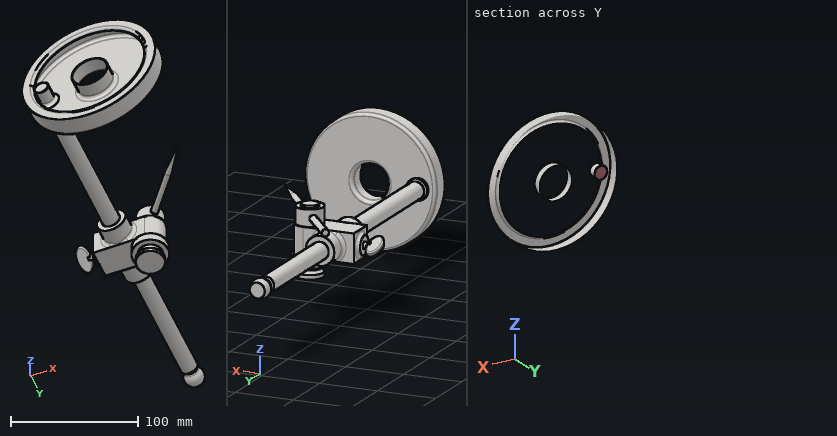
import cadquery as cq
import math


BASE_RADIUS = 57.0
BASE_HEIGHT = 18.0
SHEET = 0.5
RIM_WIDTH = 7.5
FILLET = 3.0
HUB_RECESS = 2.5
HUB_RADIUS = 15.2
SOCKET_RECESS = 3.2
SOCKET_RADIUS = 6.0

COLUMN_X = -41.5
COLUMN_RADIUS = 7.5
STUB_RADIUS = SOCKET_RADIUS - SHEET
COLLAR_RADIUS = 9.0
COLLAR_HEIGHT = 2.3
COLUMN_TOP = 308.0
NECK_RADIUS = 5.8
NECK_START = 310.5
TOTAL_LENGTH = 324.0
BALL_RADIUS = 8.7
BALL_CUT = 5.8

SLIDER_Y = 176.0
BLOCK_WIDTH = 25.3
BLOCK_REACH = 22.0
SPINDLE_OFFSET = 21.7
SLEEVE_LENGTH = 57.0
SLEEVE_RADIUS = 12.3
BOSS_RADIUS = 8.0
BOSS_HEIGHT = 3.2

SCREW_RADIUS = 3.0
WING_WIDTH = 12.3
WING_LENGTH = 23.3
WING_THICKNESS = 5.2
WING_FILLET = 1.3
WING_TILT = 20.0
WING_END_X = -82.0

SPINDLE_RADIUS = 7.5
SPINDLE_TOP = 28.8
HEAD_RADIUS = 11.7
HEAD_TOP = 27.0
NUT_RADIUS = 15.0
NUT_BOTTOM = -20.7
KNOB_RADIUS = 11.7
KNOB_NECK_RADIUS = 10.0
KNOB_WAIST_RADIUS = 9.0
KNOB_WAIST_Z = -24.0
KNOB_RIM_Z = -27.0
KNOB_BOTTOM = -30.8

SCRIBER_RADIUS = 3.0
SCRIBER_Z = 19.5
SCRIBER_ANGLE = -52.0
SCRIBER_BACK = 51.8
SCRIBER_SHANK = 51.8
SCRIBER_REACH = 83.3
SCRIBER_TIP_RADIUS = 0.15

FLOOR_Y = BASE_HEIGHT - SHEET
RECESS_RADIUS = BASE_RADIUS - RIM_WIDTH
BALL_Y = TOTAL_LENGTH - BALL_CUT
BALL_FLAT_RADIUS = math.sqrt(BALL_RADIUS**2 - BALL_CUT**2)
HALF_BLOCK = BLOCK_WIDTH / 2
WING_X = WING_END_X + WING_WIDTH / 2
BLOCK_END_X = COLUMN_X - BLOCK_REACH
SPINDLE_X = COLUMN_X + SPINDLE_OFFSET
ARC_MIDDLE = FILLET * (1 - math.sqrt(0.5))


def turned(profile, base_point, axis):
    """Revolve a closed (radius, height) sketch about an axis through base_point."""
    across = (1, 0, 0) if axis[0] == 0 else (0, 0, 1)
    normal = cq.Vector(*across).cross(cq.Vector(*axis))
    plane = cq.Plane(origin=base_point, xDir=across, normal=normal.toTuple())
    outline = profile(cq.Workplane(plane)).close()
    return outline.revolve(360, (0, 0, 0), (0, 1, 0))


def rod(start, axis, radius, length):
    return cq.Workplane(cq.Solid.makeCylinder(radius, length, cq.Vector(*start), cq.Vector(*axis)))


def bend_point(centre, radius, degrees):
    angle = math.radians(degrees)
    return (centre[0] + radius * math.cos(angle), centre[1] + radius * math.sin(angle))


def filleted_post(start, axis, radius, height):
    """Round post with a concave fillet at its foot."""

    def profile(plane):
        return (
            plane.lineTo(radius + FILLET, 0)
            .threePointArc((radius + ARC_MIDDLE, ARC_MIDDLE), (radius, FILLET))
            .lineTo(radius, height)
            .lineTo(0, height)
        )

    return turned(profile, start, axis)


def make_base():
    """Pressed sheet dish: flat rim with a curled lip, side wall, floor and a hub tube."""
    lip_bend = (RECESS_RADIUS, FILLET)
    wall_bend = (BASE_RADIUS - FILLET, BASE_HEIGHT - FILLET)
    hub_bend = (HUB_RADIUS + FILLET, FLOOR_Y - FILLET)
    inside = FILLET - SHEET
    outside = FILLET + SHEET

    def profile(plane):
        return (
            plane.moveTo(*bend_point(lip_bend, FILLET, 180))
            .threePointArc(bend_point(lip_bend, FILLET, 225), bend_point(lip_bend, FILLET, 270))
            .lineTo(BASE_RADIUS, 0)
            .lineTo(*bend_point(wall_bend, FILLET, 0))
            .threePointArc(bend_point(wall_bend, FILLET, 45), bend_point(wall_bend, FILLET, 90))
            .lineTo(*bend_point(hub_bend, outside, 90))
            .threePointArc(bend_point(hub_bend, outside, 135), bend_point(hub_bend, outside, 180))
            .lineTo(HUB_RADIUS - SHEET, HUB_RECESS)
            .lineTo(HUB_RADIUS, HUB_RECESS)
            .lineTo(*bend_point(hub_bend, FILLET, 180))
            .threePointArc(bend_point(hub_bend, FILLET, 135), bend_point(hub_bend, FILLET, 90))
            .lineTo(*bend_point(wall_bend, inside, 90))
            .threePointArc(bend_point(wall_bend, inside, 45), bend_point(wall_bend, inside, 0))
            .lineTo(BASE_RADIUS - SHEET, SHEET)
            .lineTo(*bend_point(lip_bend, inside, 270))
            .threePointArc(bend_point(lip_bend, inside, 225), bend_point(lip_bend, inside, 180))
        )

    dish = turned(profile, (0, 0, 0), (0, 1, 0))
    socket = filleted_post((COLUMN_X, FLOOR_Y, 0), (0, -1, 0), SOCKET_RADIUS, FLOOR_Y - SOCKET_RECESS)
    stub_hole = rod((COLUMN_X, 0, 0), (0, 1, 0), STUB_RADIUS, BASE_HEIGHT)
    return dish.union(socket).cut(stub_hole)


def make_column():
    collar_top = BASE_HEIGHT + COLLAR_HEIGHT

    def profile(plane):
        return (
            plane.moveTo(0, SOCKET_RECESS)
            .lineTo(STUB_RADIUS, SOCKET_RECESS)
            .lineTo(STUB_RADIUS, BASE_HEIGHT)
            .lineTo(COLLAR_RADIUS, BASE_HEIGHT)
            .lineTo(COLLAR_RADIUS, collar_top)
            .lineTo(COLUMN_RADIUS, collar_top + COLLAR_HEIGHT)
            .lineTo(COLUMN_RADIUS, COLUMN_TOP)
            .lineTo(NECK_RADIUS, NECK_START)
            .lineTo(BALL_FLAT_RADIUS, BALL_Y - BALL_CUT)
            .threePointArc((BALL_RADIUS, BALL_Y), (BALL_FLAT_RADIUS, TOTAL_LENGTH))
            .lineTo(0, TOTAL_LENGTH)
        )

    return turned(profile, (COLUMN_X, 0, 0), (0, 1, 0))


def make_slider():
    block = (
        cq.Workplane("XY")
        .box(BLOCK_REACH + SPINDLE_OFFSET, BLOCK_WIDTH, BLOCK_WIDTH)
        .translate(((BLOCK_END_X + SPINDLE_X) / 2, SLIDER_Y, 0))
        .union(rod((SPINDLE_X, SLIDER_Y, -HALF_BLOCK), (0, 0, 1), HALF_BLOCK, BLOCK_WIDTH))
    )
    sleeve_start = (COLUMN_X, SLIDER_Y - SLEEVE_LENGTH / 2, 0)
    block = block.union(rod(sleeve_start, (0, 1, 0), SLEEVE_RADIUS, SLEEVE_LENGTH))
    for side in (-1, 1):
        foot = (COLUMN_X, SLIDER_Y + side * HALF_BLOCK, 0)
        block = block.edges("%CIRCLE").edges(cq.selectors.NearestToPointSelector(foot)).fillet(FILLET)
    boss = filleted_post((BLOCK_END_X, SLIDER_Y, 0), (-1, 0, 0), BOSS_RADIUS, BOSS_HEIGHT)
    column_bore = rod((COLUMN_X, 0, 0), (0, 1, 0), COLUMN_RADIUS, TOTAL_LENGTH)
    spindle_bore = rod((SPINDLE_X, SLIDER_Y, -HALF_BLOCK), (0, 0, 1), SPINDLE_RADIUS, BLOCK_WIDTH)
    return block.union(boss).cut(column_bore).cut(spindle_bore).cut(make_screw_shank())


def make_screw_shank():
    """Round shank from just inside the tip of the wing to the face of the column."""
    start_x = WING_X + WING_WIDTH / 2 - 2 * WING_FILLET
    return rod((start_x, SLIDER_Y, 0), (1, 0, 0), SCREW_RADIUS, COLUMN_X - COLUMN_RADIUS - start_x)


def make_thumbscrew():
    wing = (
        cq.Workplane("XY")
        .ellipse(WING_WIDTH / 2, WING_LENGTH / 2)
        .extrude(WING_THICKNESS / 2, both=True)
        .faces("|Z")
        .edges()
        .fillet(WING_FILLET)
        .rotate((0, 0, 0), (1, 0, 0), -WING_TILT)
        .translate((WING_X, SLIDER_Y, 0))
    )
    return wing.union(make_screw_shank())


def make_scriber():
    def profile(plane):
        return (
            plane.moveTo(0, -SCRIBER_BACK)
            .lineTo(SCRIBER_RADIUS, -SCRIBER_BACK)
            .lineTo(SCRIBER_RADIUS, SCRIBER_SHANK)
            .lineTo(SCRIBER_TIP_RADIUS, SCRIBER_REACH)
            .lineTo(0, SCRIBER_REACH)
        )

    centre = (SPINDLE_X, SLIDER_Y, SCRIBER_Z)
    along_x = turned(profile, centre, (1, 0, 0))
    return along_x.rotate(centre, (SPINDLE_X, SLIDER_Y, SCRIBER_Z + 3.2), SCRIBER_ANGLE)


def make_spindle(scriber):
    """Pin through head, block and nut, with a turned knob below and a cross hole for the scriber."""

    def profile(plane):
        return (
            plane.moveTo(0, KNOB_BOTTOM)
            .lineTo(KNOB_RADIUS, KNOB_BOTTOM)
            .lineTo(KNOB_RADIUS, KNOB_RIM_Z)
            .lineTo(KNOB_WAIST_RADIUS, KNOB_WAIST_Z)
            .lineTo(KNOB_NECK_RADIUS, NUT_BOTTOM)
            .lineTo(SPINDLE_RADIUS, NUT_BOTTOM)
            .lineTo(SPINDLE_RADIUS, SPINDLE_TOP)
            .lineTo(0, SPINDLE_TOP)
        )

    return turned(profile, (SPINDLE_X, SLIDER_Y, 0), (0, 0, 1)).cut(scriber)


def collar_on_spindle(radius, bottom, top):
    start = (SPINDLE_X, SLIDER_Y, bottom)
    outer = rod(start, (0, 0, 1), radius, top - bottom)
    return outer.cut(rod(start, (0, 0, 1), SPINDLE_RADIUS, top - bottom))


base = make_base()
column = make_column()
slider = make_slider()
thumbscrew = make_thumbscrew()
scriber = make_scriber()
spindle = make_spindle(scriber)
head = collar_on_spindle(HEAD_RADIUS, HALF_BLOCK, HEAD_TOP).cut(scriber)
nut = collar_on_spindle(NUT_RADIUS, NUT_BOTTOM, -HALF_BLOCK)

result = cq.Compound.makeCompound(
    [
        base.val(),
        column.val(),
        slider.val(),
        thumbscrew.val(),
        scriber.val(),
        spindle.val(),
        head.val(),
        nut.val(),
    ]
)